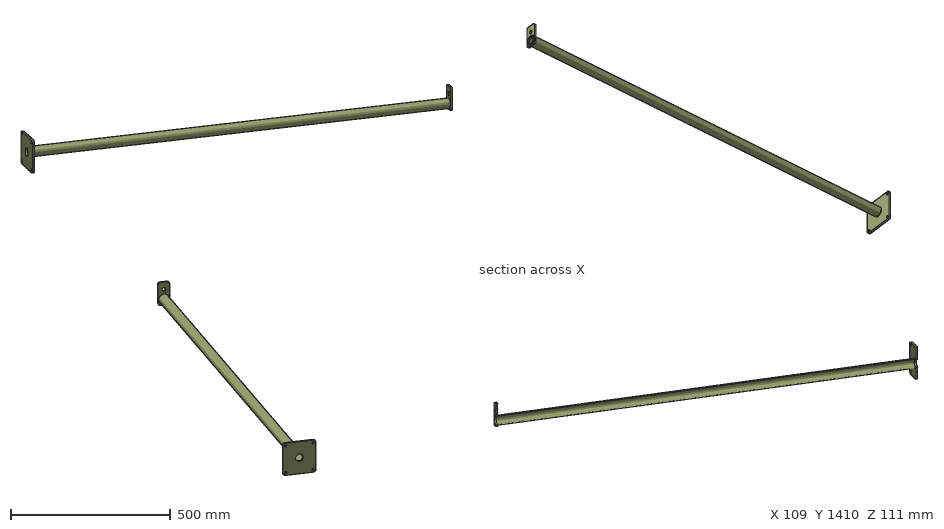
import cadquery as cq

TOTAL_LENGTH = 1410.0
PLATE_THICKNESS = 7.0

BASE_SIZE = 109.0
BASE_CORNER_RADIUS = 8.0
BASE_CENTRE_HOLE = 25.0
BASE_BOLT_HOLE = 6.8
BASE_BOLT_INSET = 9.2

TUBE_OUTER = 34.0
TUBE_INNER = 27.0
TUBE_LENGTH = TOTAL_LENGTH - PLATE_THICKNESS

OVERALL_HEIGHT = 111.0
END_WIDTH = 38.0
END_TOP = OVERALL_HEIGHT - BASE_SIZE / 2
END_BOTTOM = -20.0
END_HEIGHT = END_TOP - END_BOTTOM
END_CORNER_RADIUS = 7.0
END_TUBE_HOLE = TUBE_OUTER
END_BOLT_HOLE = 12.0
END_BOLT_Z = 32.0


def section_plane(y):
    """Plane across the tube axis at y: local x is X, local y is Z, extruding toward +Y."""
    return cq.Workplane(cq.Plane(origin=(0, y, 0), xDir=(1, 0, 0), normal=(0, -1, 0)))


def drill(y, diameter, points):
    """Cylinders through one plate thickness, for cutting holes at the (X, Z) points."""
    return section_plane(y).pushPoints(points).circle(diameter / 2).extrude(-PLATE_THICKNESS)


def make_base_plate():
    """Square plate with rounded corners, a centre hole and four bolt holes."""
    bolt_offset = BASE_SIZE / 2 - BASE_BOLT_INSET
    bolt_points = [(x, z) for x in (-bolt_offset, bolt_offset) for z in (-bolt_offset, bolt_offset)]
    plate = section_plane(0).rect(BASE_SIZE, BASE_SIZE).extrude(-PLATE_THICKNESS)
    plate = plate.edges("|Y").fillet(BASE_CORNER_RADIUS)
    plate = plate.cut(drill(0, BASE_CENTRE_HOLE, [(0, 0)]))
    return plate.cut(drill(0, BASE_BOLT_HOLE, bolt_points))


def make_tube():
    """Round tube from the base plate to the outer face of the end plate."""
    section = section_plane(PLATE_THICKNESS).circle(TUBE_OUTER / 2).circle(TUBE_INNER / 2)
    return section.extrude(-TUBE_LENGTH)


def make_end_plate():
    """Upright plate fitted around the far end of the tube, with a bolt hole above the tube."""
    start = TOTAL_LENGTH - PLATE_THICKNESS
    outline = section_plane(start).center(0, (END_TOP + END_BOTTOM) / 2).rect(END_WIDTH, END_HEIGHT)
    plate = outline.extrude(-PLATE_THICKNESS).edges("|Y").fillet(END_CORNER_RADIUS)
    plate = plate.cut(drill(start, END_TUBE_HOLE, [(0, 0)]))
    return plate.cut(drill(start, END_BOLT_HOLE, [(0, END_BOLT_Z)]))


base_plate = make_base_plate()
tube = make_tube()
end_plate = make_end_plate()

result = cq.Compound.makeCompound([base_plate.val(), tube.val(), end_plate.val()])